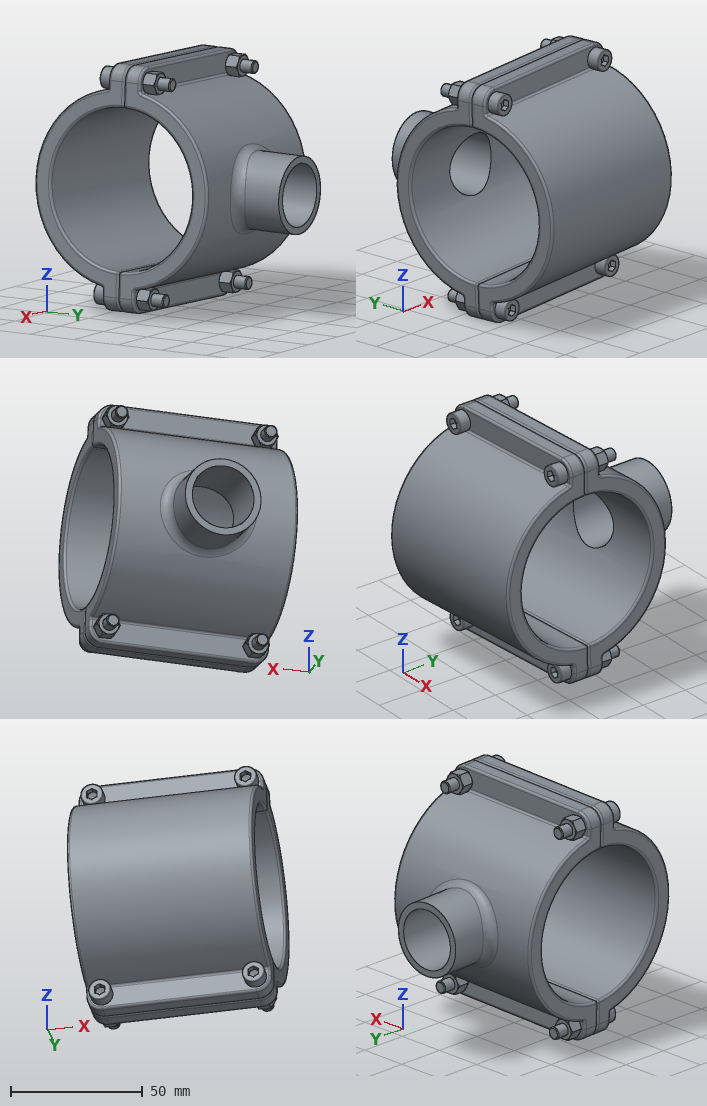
import cadquery as cq
import math


shell_length = 71.2
bore_radius = 31.5
shell_radius = 38.5
edge_radius = 1.0

flange_thickness = 7.0
bolt_spacing_x = 59.3
bolt_spacing_z = 82.85
bolt_to_edge = (shell_length - bolt_spacing_x) / 2
flange_height = bolt_spacing_z / 2 + bolt_to_edge
flange_root_radius = 1.0

branch_diameter = 30.0
branch_bore_diameter = 24.5
branch_reach = 57.5
branch_root_radius = 4.0

bolt_diameter = 5.0
bolt_length = 25.0
bolt_tip_chamfer = 0.4
head_diameter = 8.5
head_height = 5.0
head_edge_radius = 0.3
socket_flats = 4.0
socket_depth = 2.4
socket_cone_angle = math.radians(30)

nut_flats = 8.0
nut_height = 5.5
nut_chamfer_angle = math.radians(30)

tilt_x = -0.6
tilt_y = -2.2
tilt_z = 1.7

flats_angle = -tilt_y

half_hexagon_turn = 360 / 12

bolt_places = [
    (x, z)
    for x in (-bolt_spacing_x / 2, bolt_spacing_x / 2)
    for z in (-bolt_spacing_z / 2, bolt_spacing_z / 2)
]


def corner_diameter(flats):
    """Diameter through the corners of a hexagon with the given width across flats."""
    return flats / math.cos(math.pi / 6)


def sketch_at_y(y):
    """Workplane facing +Y at the given Y, with its first axis along Z and its second along X."""
    return cq.Workplane(cq.Plane(origin=(0, y, 0), xDir=(0, 0, 1), normal=(0, 1, 0)))


def spun(hexagon, angle):
    """Turn a hexagon about the Y axis."""
    return hexagon.rotate((0, 0, 0), (0, 1, 0), angle)


def x_cylinder(radius):
    """Cylinder along the main pipe, as long as the shell."""
    return cq.Workplane("YZ").circle(radius).extrude(shell_length / 2, both=True)


def is_flange_root(edge):
    """Whether an edge runs along X where the outer face of a flange meets the ring."""
    place = edge.Center()
    return edge.geomType() == "LINE" and edge.Length() > shell_length - edge_radius and place.y > edge_radius


def half_shell():
    """Undrilled half ring with two flanges on the +Y side, all its edges rounded."""
    half_space = cq.Workplane("XY").box(
        shell_length, shell_radius, 2 * shell_radius, centered=(True, False, True)
    )
    flanges = (
        cq.Workplane("XY")
        .box(shell_length, flange_thickness, 2 * flange_height, centered=(True, False, True))
        .edges("|Y")
        .fillet(bolt_to_edge)
    )
    shell = x_cylinder(shell_radius).intersect(half_space).union(flanges).cut(x_cylinder(bore_radius))
    shell = shell.edges().filter(is_flange_root).fillet(flange_root_radius)
    sharp_edges = shell.edges("not |Y").filter(lambda edge: not is_flange_root(edge))
    return sharp_edges.fillet(edge_radius)


def is_branch_root(edge):
    """Whether an edge runs right around the branch pipe below its open end."""
    box = edge.BoundingBox()
    goes_around = min(box.xlen, box.zlen) > branch_bore_diameter
    return goes_around and box.ymin > bore_radius and box.ymax < branch_reach - edge_radius


def add_branch(shell):
    """Add the branch pipe with its rounded root, and bore it through into the main pipe."""
    mid_wall = x_cylinder((bore_radius + shell_radius) / 2)
    pipe = sketch_at_y(0).circle(branch_diameter / 2).extrude(branch_reach).cut(mid_wall)
    joined = shell.union(pipe)
    rounded = joined.edges().filter(is_branch_root).fillet(branch_root_radius)
    return rounded.cut(sketch_at_y(0).circle(branch_bore_diameter / 2).extrude(branch_reach))


def bolt_blank():
    """Bolt on the Y axis without its socket."""
    shank = (
        sketch_at_y(-flange_thickness)
        .circle(bolt_diameter / 2)
        .extrude(bolt_length)
        .faces(">Y")
        .chamfer(bolt_tip_chamfer)
    )
    head = (
        sketch_at_y(-flange_thickness)
        .circle(head_diameter / 2)
        .extrude(-head_height)
        .faces("<Y")
        .edges()
        .fillet(head_edge_radius)
    )
    return head.union(shank)


def bolt():
    """Bolt on the Y axis with a hexagonal socket that ends in a cone."""
    head_top = -flange_thickness - head_height
    cone_base = socket_flats / 2
    hexagon = sketch_at_y(head_top).polygon(6, corner_diameter(socket_flats)).extrude(socket_depth)
    cone = cq.Solid.makeCone(
        cone_base,
        0,
        cone_base * math.tan(socket_cone_angle),
        pnt=cq.Vector(0, head_top + socket_depth, 0),
        dir=cq.Vector(0, 1, 0),
    )
    return bolt_blank().cut(spun(hexagon, flats_angle)).cut(cq.Workplane(cone))


def nut_blank():
    """Undrilled nut on the Y axis, seated on the +Y flange, its corners turned down at both ends."""
    corner_height = corner_diameter(nut_flats) / 2 - nut_flats / 2
    turned = (
        sketch_at_y(flange_thickness)
        .circle(corner_diameter(nut_flats) / 2)
        .extrude(nut_height)
        .faces("<Y or >Y")
        .chamfer(corner_height * math.tan(nut_chamfer_angle), corner_height)
    )
    hexagon = sketch_at_y(flange_thickness).polygon(6, corner_diameter(nut_flats)).extrude(nut_height)
    return turned.intersect(spun(hexagon, flats_angle + half_hexagon_turn))


def nut():
    """Nut on the Y axis, its bore fitting the bolt shank."""
    return nut_blank().cut(bolt_blank())


def at_bolts(body):
    """Copies of a body on the Y axis, moved to the four bolt places."""
    return [body.val().moved(cq.Location(cq.Vector(x, 0, z))) for x, z in bolt_places]


def tilted(body):
    """Turn a finished body into the final attitude of the clamp."""
    origin = (0, 0, 0)
    about_x = body.rotate(origin, (1, 0, 0), tilt_x)
    about_xy = about_x.rotate(origin, (0, 1, 0), tilt_y)
    return about_xy.rotate(origin, (0, 0, 1), tilt_z)


branch_half = add_branch(half_shell())
plain_half = half_shell().mirror("XZ")

for fastener in at_bolts(bolt_blank()) + at_bolts(nut_blank()):
    branch_half = branch_half.cut(cq.Workplane(fastener))
    plain_half = plain_half.cut(cq.Workplane(fastener))

bodies = [branch_half.val(), plain_half.val()] + at_bolts(bolt()) + at_bolts(nut())
result = cq.Compound.makeCompound([tilted(body) for body in bodies])